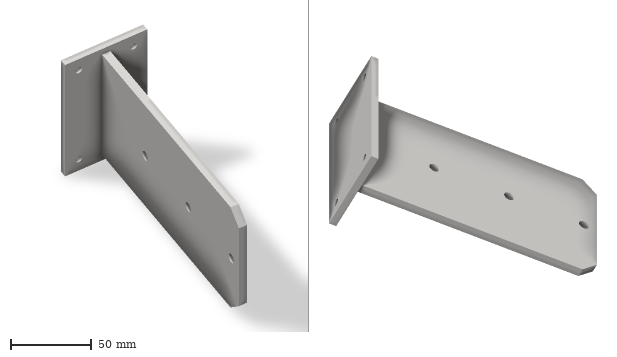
import cadquery as cq

length = 170.0
plate_width = 60.0
plate_height = 100.0

plate_thickness = 5.0
screw_diameter = 5.0
screw_spacing_y = 40.0
screw_spacing_z = 80.0

blade_length = length - plate_thickness
blade_height = 90.0
blade_thickness = 6.0
corner_chamfer = 10.0
blade_hole_diameter = 6.8
blade_hole_pitch = 52.0
blade_hole_count = 3


def make_plate():
    """Rectangular plate with a screw hole near each corner."""
    return (
        cq.Workplane("YZ")
        .rect(plate_width, plate_height)
        .extrude(plate_thickness)
        .faces(">X")
        .workplane(origin=(0, 0, 0))
        .rect(screw_spacing_y, screw_spacing_z, forConstruction=True)
        .vertices()
        .hole(screw_diameter)
    )


def make_blade():
    """Flat blade with chamfered free corners and evenly pitched holes on its centreline."""
    blade = (
        cq.Workplane("XY")
        .box(blade_length, blade_thickness, blade_height, centered=(False, True, True))
        .translate((plate_thickness, 0, 0))
        .edges(">X and |Y")
        .chamfer(corner_chamfer)
    )
    hole_places = [
        (plate_thickness + blade_hole_pitch * (i + 1), 0) for i in range(blade_hole_count)
    ]
    return (
        blade.faces("<Y")
        .workplane(origin=(0, 0, 0))
        .pushPoints(hole_places)
        .hole(blade_hole_diameter)
    )


result = make_plate().union(make_blade())